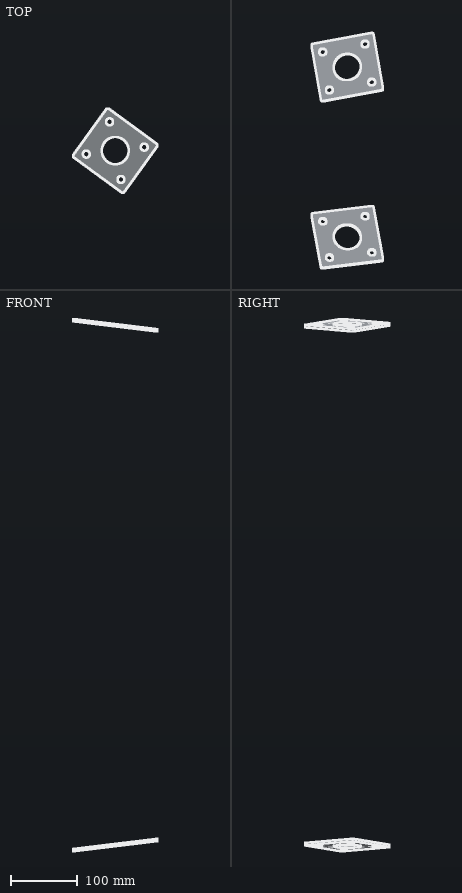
import cadquery as cq
import math

overall_height = 795.5

plate_length = 95.0
plate_width = 90.0
corner_radius = 2.9
plate_thickness = 4.0
bore_diameter = 40.5
bolt_hole_diameter = 10.0
bolt_pitch_long = 64.5
bolt_pitch_short = 60.0

turn_angle = 36.0
tilt_angle = 6.9

turn = math.radians(turn_angle)
tilt = math.radians(tilt_angle)
corner_x = plate_length / 2 - corner_radius
corner_y = plate_width / 2 - corner_radius
plate_reach = corner_x * math.cos(turn) + corner_y * math.sin(turn) + corner_radius

plate_rise = plate_reach * math.sin(tilt) + plate_thickness / 2 * math.cos(tilt)
plate_height = overall_height / 2 - plate_rise


def make_flat_plate():
    """Rectangular plate with rounded corners, a centre bore and four bolt holes, centred on the origin."""
    plate = cq.Workplane("XY").box(plate_length, plate_width, plate_thickness)
    plate = plate.edges("|Z").fillet(corner_radius)
    plate = plate.faces(">Z").workplane().hole(bore_diameter)
    bolt_rectangle = plate.faces(">Z").workplane().rect(bolt_pitch_long, bolt_pitch_short, forConstruction=True)
    return bolt_rectangle.vertices().hole(bolt_hole_diameter)


def make_flange_plate(side):
    """Place a plate above (side = 1) or below (side = -1) the XY plane, tilted to mirror the other."""
    plate = make_flat_plate()
    plate = plate.rotate((0, 0, 0), (0, 0, 1), -turn_angle)
    plate = plate.rotate((0, 0, 0), (0, 1, 0), side * tilt_angle)
    return plate.translate((0, 0, side * plate_height))


flange_plates = [make_flange_plate(side) for side in (1, -1)]

result = cq.Compound.makeCompound([plate.val() for plate in flange_plates])